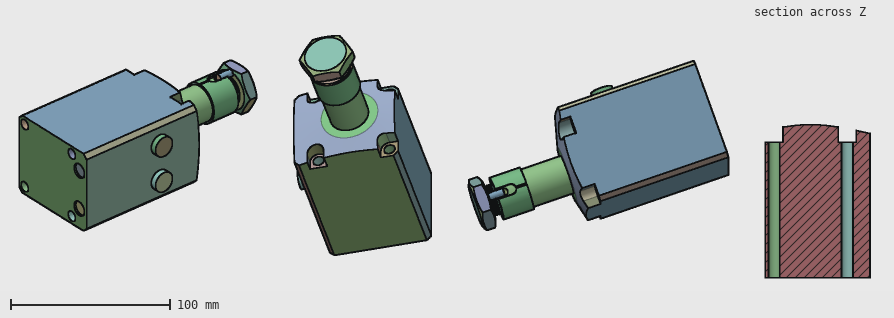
import cadquery as cq
import math


HOUSING_LEFT = 28.5
HOUSING_RIGHT = 37.4
HOUSING_HALF_HEIGHT = 28.5
HOUSING_LENGTH = 97.6
EDGE_CHAMFER = 3.0
BEVEL_START_RADIUS = 18.4
BEVEL_ANGLE = 15.0

HOLE_OFFSET = 23.0
HOLE_DIAMETER = 7.0
POCKET_FLOOR_Y = 85.3
POCKET_RADIUS = 5.5

RECESS_X = 30.3
RECESS_Z = 14.0
RECESS_DIAMETER = 10.0
RECESS_DEPTH = 1.5

PLUG_Y = 60.0
PLUG_Z = 13.0
PLUG_DIAMETER = 14.0
PLUG_HEIGHT = 4.1

TUBE_RADIUS = 12.5
TUBE_END_Y = 143.6

COLLAR_RADIUS = 14.0
COLLAR_START_Y = 124.5
COLLAR_END_Y = 144.4
SLOT_WIDTH = 6.7
SLOT_END_Y = 131.5
SLIT_WIDTH = 1.0

HEX_FLATS = 30.0
HEX_HEIGHT = 8.9
HEX_END_Y = 158.5
HEX_FACE_RADIUS = 13.5
HEX_CHAMFER_ANGLE = 24.0
THREAD_RADIUS = 10.0
THREAD_ROOT_RADIUS = 9.0
THREAD_PITCH = 1.5
THREAD_COUNT = 3
RELIEF_RADIUS = 8.9

PIN_RADIUS = TUBE_RADIUS - THREAD_RADIUS
PIN_END_Y = 139.6

HEX_START_Y = HEX_END_Y - HEX_HEIGHT


def disc_along_y(radius, start_y, end_y, x=0.0, z=0.0):
    """Solid cylinder parallel to Y between two Y positions."""
    return cq.Workplane(cq.Solid.makeCylinder(
        radius, end_y - start_y, cq.Vector(x, start_y, z), cq.Vector(0, 1, 0)))


def block(x_range, y_range, z_range):
    """Box given by its limits along each axis."""
    lows, highs = zip(x_range, y_range, z_range)
    sizes = [high - low for low, high in zip(lows, highs)]
    return cq.Workplane("XY").box(*sizes, centered=False).translate(lows)


def revolve_about_y(profile):
    """Turn a closed (radius, y) outline around the Y axis."""
    return cq.Workplane("XY").polyline(profile).close().revolve(360, (0, 0, 0), (0, 1, 0))


def bevel_envelope():
    """Round body whose conical rear end trims the housing."""
    outer_radius = math.hypot(HOUSING_RIGHT, HOUSING_HALF_HEIGHT)
    drop = (outer_radius - BEVEL_START_RADIUS) * math.tan(math.radians(BEVEL_ANGLE))
    return revolve_about_y([
        (0, 0),
        (outer_radius, 0),
        (outer_radius, HOUSING_LENGTH - drop),
        (BEVEL_START_RADIUS, HOUSING_LENGTH),
        (0, HOUSING_LENGTH),
    ])


def left_corner_pocket():
    """Upper left pocket: the corner is cut away and its inner corner is round."""
    return block(
        (-HOUSING_LEFT, POCKET_RADIUS - HOLE_OFFSET),
        (POCKET_FLOOR_Y, HOUSING_LENGTH),
        (HOLE_OFFSET - POCKET_RADIUS, HOUSING_HALF_HEIGHT),
    ).edges("|Y and >X and <Z").fillet(POCKET_RADIUS)


def right_pocket():
    """Upper right pocket: a round seat that opens through the top face."""
    seat = disc_along_y(POCKET_RADIUS, POCKET_FLOOR_Y, HOUSING_LENGTH, HOLE_OFFSET, HOLE_OFFSET)
    opening = block(
        (HOLE_OFFSET - POCKET_RADIUS, HOLE_OFFSET + POCKET_RADIUS),
        (POCKET_FLOOR_Y, HOUSING_LENGTH),
        (HOLE_OFFSET, HOUSING_HALF_HEIGHT),
    )
    return seat.union(opening)


def make_housing():
    body = block(
        (-HOUSING_LEFT, HOUSING_RIGHT),
        (0, HOUSING_LENGTH),
        (-HOUSING_HALF_HEIGHT, HOUSING_HALF_HEIGHT),
    )
    body = body.edges("|Y").chamfer(EDGE_CHAMFER)
    body = body.intersect(bevel_envelope())

    for pocket in (left_corner_pocket(), right_pocket()):
        body = body.cut(pocket).cut(pocket.mirror("XY"))

    for x in (-HOLE_OFFSET, HOLE_OFFSET):
        for z in (-HOLE_OFFSET, HOLE_OFFSET):
            body = body.cut(disc_along_y(HOLE_DIAMETER / 2, 0, HOUSING_LENGTH, x, z))

    for z in (-RECESS_Z, RECESS_Z):
        body = body.cut(disc_along_y(RECESS_DIAMETER / 2, 0, RECESS_DEPTH, RECESS_X, z))
    return body


def make_plug(z):
    return cq.Workplane(cq.Solid.makeCylinder(
        PLUG_DIAMETER / 2, PLUG_HEIGHT, cq.Vector(HOUSING_RIGHT, PLUG_Y, z), cq.Vector(1, 0, 0)))


def make_tube():
    """Plain tube body with a ball-ended groove for the locking pin."""
    body = disc_along_y(TUBE_RADIUS, HOUSING_LENGTH, TUBE_END_Y)
    groove = disc_along_y(PIN_RADIUS, PIN_END_Y, TUBE_END_Y, 0, TUBE_RADIUS)
    round_end = cq.Workplane("XY", origin=(0, PIN_END_Y, TUBE_RADIUS)).sphere(PIN_RADIUS)
    return body.cut(groove).cut(round_end)


def make_collar():
    """Thin sleeve on the tube with a round-ended slot that runs out into a slit."""
    sleeve = disc_along_y(COLLAR_RADIUS, COLLAR_START_Y, COLLAR_END_Y)
    sleeve = sleeve.cut(disc_along_y(TUBE_RADIUS, COLLAR_START_Y, COLLAR_END_Y))

    slot_radius = SLOT_WIDTH / 2
    arc_y = SLOT_END_Y + slot_radius
    slot = (
        cq.Workplane("XY")
        .moveTo(-slot_radius, COLLAR_END_Y)
        .lineTo(-slot_radius, arc_y)
        .threePointArc((0, SLOT_END_Y), (slot_radius, arc_y))
        .lineTo(slot_radius, COLLAR_END_Y)
        .close()
        .extrude(COLLAR_RADIUS)
    )
    slit = block((-SLIT_WIDTH / 2, SLIT_WIDTH / 2), (COLLAR_START_Y, arc_y), (0, COLLAR_RADIUS))
    return sleeve.cut(slot).cut(slit)


def hex_head():
    """Hexagon with flats facing +Z and -Z and both ends chamfered by cones."""
    corner_radius = HEX_FLATS / math.sqrt(3)
    head = (
        cq.Workplane("XZ", origin=(0, HEX_END_Y, 0))
        .polygon(6, 2 * corner_radius)
        .extrude(HEX_HEIGHT)
    )
    drop = (corner_radius - HEX_FACE_RADIUS) * math.tan(math.radians(HEX_CHAMFER_ANGLE))
    return head.intersect(revolve_about_y([
        (0, HEX_START_Y),
        (HEX_FACE_RADIUS, HEX_START_Y),
        (corner_radius, HEX_START_Y + drop),
        (corner_radius, HEX_END_Y - drop),
        (HEX_FACE_RADIUS, HEX_END_Y),
        (0, HEX_END_Y),
    ]))


def make_adjusting_screw():
    """Hex head with a short thread, built as ridges, and a smooth neck."""
    profile = [(0, HEX_START_Y)]
    for turn in range(THREAD_COUNT):
        root_y = HEX_START_Y - turn * THREAD_PITCH
        profile.append((THREAD_ROOT_RADIUS, root_y))
        profile.append((THREAD_RADIUS, root_y - THREAD_PITCH / 2))
    thread_end_y = HEX_START_Y - THREAD_COUNT * THREAD_PITCH
    profile += [
        (RELIEF_RADIUS, thread_end_y),
        (RELIEF_RADIUS, TUBE_END_Y),
        (0, TUBE_END_Y),
    ]
    return hex_head().union(revolve_about_y(profile))


def make_pin():
    return disc_along_y(PIN_RADIUS, PIN_END_Y, HEX_START_Y, 0, TUBE_RADIUS)


housing = make_housing()
tube = make_tube()
collar = make_collar()
adjusting_screw = make_adjusting_screw()
pin = make_pin()
plugs = [make_plug(z) for z in (-PLUG_Z, PLUG_Z)]

result = cq.Compound.makeCompound([
    housing.solids().val(),
    tube.solids().val(),
    collar.solids().val(),
    adjusting_screw.solids().val(),
    pin.solids().val(),
    *[plug.val() for plug in plugs],
])